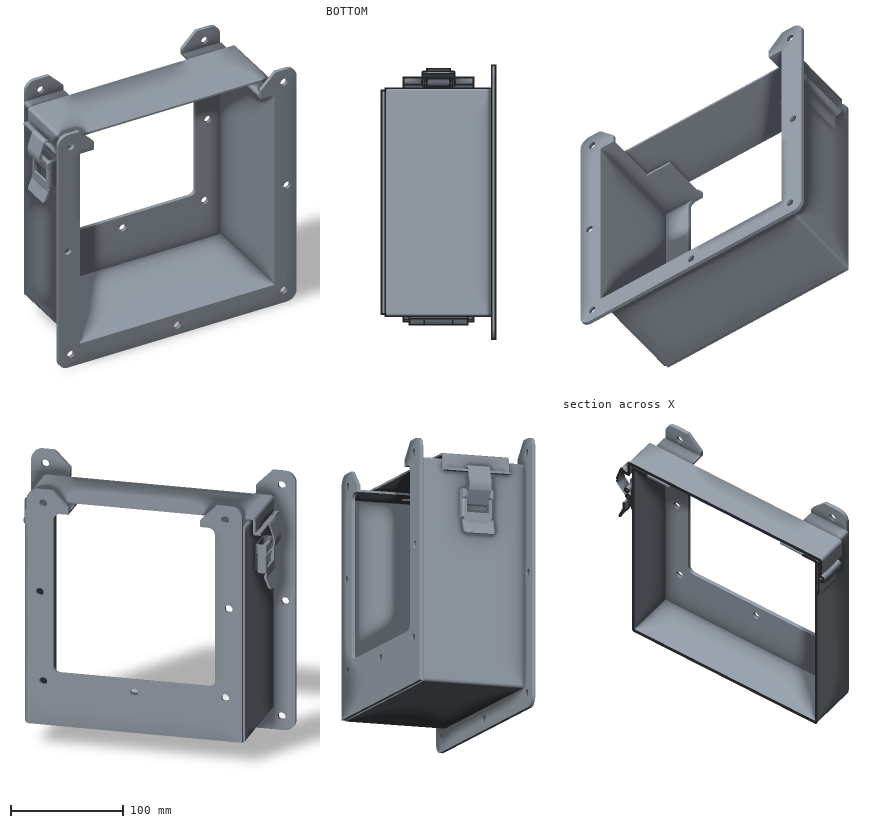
import cadquery as cq
import math

TOTAL_DEPTH = 101.7
MID_X = TOTAL_DEPTH / 2
PLATE_THICKNESS = 3.5
SHEET = 2.0
HOLE_DIAMETER = 7.0
EAR_CHAMFER = 14.7

REAR_SIZE = 244.5
REAR_HALF_WIDTH = REAR_SIZE / 2
REAR_CORNER_RADIUS = 10.0
REAR_EAR_TIP_Y = 85.8
REAR_CORNER_HOLE_INSET = 13.0
REAR_EDGE_HOLE_INSET = 9.8

CHANNEL_HALF_WIDTH = 101.7
CHANNEL_BOTTOM = 19.5
CHANNEL_TOP = 223.0
CHANNEL_BEND_RADIUS = 2.7
CHANNEL_START_X = PLATE_THICKNESS
CHANNEL_END_X = TOTAL_DEPTH - PLATE_THICKNESS
INNER_HALF_WIDTH = CHANNEL_HALF_WIDTH - SHEET
INNER_BOTTOM = CHANNEL_BOTTOM + SHEET
INNER_TOP = CHANNEL_TOP - SHEET

FRONT_HALF_WIDTH = INNER_HALF_WIDTH
FRONT_BOTTOM = 20.5
FRONT_TOP = 242.0
FRONT_CORNER_RADIUS = 10.0
FRONT_OPENING_HALF_WIDTH = 74.5
FRONT_OPENING_BOTTOM = 70.5
FRONT_OPENING_RADIUS = 6.0
FRONT_EAR_TIP_Y = 60.9
FRONT_CORNER_HOLE_Y = 84.0
FRONT_MID_HOLE_Y = 87.3
FRONT_TOP_HOLE_Z = 229.8
FRONT_MID_HOLE_Z = 145.7
FRONT_LOW_HOLE_Z = 61.5
FRONT_BOTTOM_HOLE_Z = 58.7

LID_WIDTH = 62.8
LID_TOP = 227.0
LID_HALF_LENGTH = 106.5
LID_BEND_RADIUS = 3.0
LID_LIP_BOTTOM = 210.7
LID_LIP_REACH = 111.2
LID_LIP_RADIUS = 1.7
LID_PLAIN_BOTTOM = 208.3

STRAP_WIDTH = 51.8
STRAP_BOTTOM = 183.0
STRAP_TOP = 222.5
BUMP_BOTTOM = 199.5
BUMP_TOP = 206.8
BUMP_REACH = 109.3
BUMP_MIDDLE_WIDTH = 25.5
BUMP_END_RADIUS = 3.0
BUMP_MIDDLE_RADIUS = 3.5

LATCH_WIDTH = 29.0
LATCH_TOP = 195.0
LATCH_FRONT_Y = -112.2
LEVER_BACK_Y = -104.0
LEVER_PLATE_TOP = 185.8
LEVER_FLANGE_BOTTOM = 169.2
LEVER_RELIEF_BOTTOM = 167.2
LEVER_BEND_Z = 164.8
LEVER_TIP_Y = -116.5
LEVER_TIP_Z = 154.0
LEVER_TIP_RADIUS = 2.5
LEVER_EDGE_RADIUS = 1.7
WINDOW_WIDTH = 21.5
WINDOW_BOTTOM = 173.5
BASE_PLATE_BOTTOM = 171.1
BASE_PLATE_THICKNESS = 1.0
BASE_EAR_BOTTOM = 186.5
EAR_CORNER_RADIUS = 2.0

LEVER_PIN_Y = -108.0
LEVER_PIN_Z = 191.0
LEVER_PIN_DIAMETER = 4.6
CLAW_PIN_Y = -106.0
CLAW_PIN_Z = 183.8
CLAW_PIN_DIAMETER = 3.2
CLAW_PIN_HEAD_DIAMETER = 4.6
CLAW_PIN_STUB = 0.2

CLAW_WIDTH = 20.8
CLAW_THICKNESS = 1.2
CLAW_BOW_START = (-117.3, 193.1)
CLAW_BOW_MIDDLE = (-118.3, 196.8)
CLAW_BOW_END = (-118.0, 201.5)
CLAW_HOOK_START = (-114.2, 213.5)
CLAW_HOOK_MIDDLE = (-112.5, 215.5)
CLAW_HOOK_END = (-110.0, 215.1)
CLAW_TIP = (-108.0, 213.7)


def block(x0, x1, y0, y1, z0, z1):
    """Box between opposite corners."""
    return cq.Workplane("XY").box(x1 - x0, y1 - y0, z1 - z0, centered=False).translate((x0, y0, z0))


def prism(points, x0, x1):
    """Closed YZ polygon extruded from x0 to x1."""
    return cq.Workplane("YZ", origin=(x0, 0, 0)).polyline(points).close().extrude(x1 - x0)


def rod(y, z, diameter, x0, x1):
    """Cylinder parallel to X."""
    return cq.Workplane("YZ", origin=(x0, 0, 0)).center(y, z).circle(diameter / 2).extrude(x1 - x0)


def across(width):
    """Start and end X of a width centred on the duct."""
    return MID_X - width / 2, MID_X + width / 2


def drill(plate, centres, x0):
    """Cut mounting holes through a flange plate that starts at x0."""
    for y, z in centres:
        plate = plate.cut(rod(y, z, HOLE_DIAMETER, x0, x0 + PLATE_THICKNESS))
    return plate


def u_plate(x0, half_width, bottom, top, opening_half_width, opening_bottom, ear_tip_y):
    """Flange plate open at the top, with an ear that points inward on each side."""
    ear_start_y = ear_tip_y + EAR_CHAMFER
    ear_tip_z = top - EAR_CHAMFER
    right_half = [
        (half_width, bottom),
        (half_width, top),
        (ear_start_y, top),
        (ear_tip_y, ear_tip_z),
        (ear_tip_y, INNER_TOP),
        (opening_half_width, INNER_TOP),
        (opening_half_width, opening_bottom),
    ]
    left_half = [(-y, z) for y, z in reversed(right_half)]
    return prism(right_half + left_half, x0, x0 + PLATE_THICKNESS)


def round_corners(plate, x0, corners, radius):
    """Fillet the X edges of a plate at the given (Y, Z) corners."""
    for y, z in corners:
        edge = cq.selectors.NearestToPointSelector((x0 + PLATE_THICKNESS / 2, y, z))
        plate = plate.edges("|X").edges(edge).fillet(radius)
    return plate


def make_front_plate():
    plate = u_plate(
        0, FRONT_HALF_WIDTH, FRONT_BOTTOM, FRONT_TOP,
        FRONT_OPENING_HALF_WIDTH, FRONT_OPENING_BOTTOM, FRONT_EAR_TIP_Y,
    )
    sides = (-1, 1)
    outer = [(s * FRONT_HALF_WIDTH, FRONT_TOP) for s in sides]
    heights = (FRONT_OPENING_BOTTOM, INNER_TOP)
    inner = [(s * FRONT_OPENING_HALF_WIDTH, z) for s in sides for z in heights]
    plate = round_corners(plate, 0, outer, FRONT_CORNER_RADIUS)
    plate = round_corners(plate, 0, inner, FRONT_OPENING_RADIUS)
    centres = [(0, FRONT_BOTTOM_HOLE_Z)]
    for s in sides:
        centres.append((s * FRONT_CORNER_HOLE_Y, FRONT_TOP_HOLE_Z))
        centres.append((s * FRONT_MID_HOLE_Y, FRONT_MID_HOLE_Z))
        centres.append((s * FRONT_CORNER_HOLE_Y, FRONT_LOW_HOLE_Z))
    return drill(plate, centres, 0)


def make_rear_plate():
    x0 = CHANNEL_END_X
    plate = u_plate(
        x0, REAR_HALF_WIDTH, 0, REAR_SIZE,
        INNER_HALF_WIDTH, INNER_BOTTOM, REAR_EAR_TIP_Y,
    )
    sides = (-1, 1)
    outer = [(s * REAR_HALF_WIDTH, z) for s in sides for z in (0, REAR_SIZE)]
    plate = round_corners(plate, x0, outer, REAR_CORNER_RADIUS)
    centres = [(0, REAR_EDGE_HOLE_INSET)]
    for s in sides:
        corner_y = s * (REAR_HALF_WIDTH - REAR_CORNER_HOLE_INSET)
        centres.append((corner_y, REAR_CORNER_HOLE_INSET))
        centres.append((corner_y, REAR_SIZE - REAR_CORNER_HOLE_INSET))
        centres.append((s * (REAR_HALF_WIDTH - REAR_EDGE_HOLE_INSET), REAR_SIZE / 2))
    return drill(plate, centres, x0)


def make_channel():
    x0, x1 = CHANNEL_START_X, CHANNEL_END_X
    half, inner = CHANNEL_HALF_WIDTH, INNER_HALF_WIDTH
    shell = block(x0, x1, -half, half, CHANNEL_BOTTOM, CHANNEL_TOP).edges("|X").fillet(CHANNEL_BEND_RADIUS)
    bore = block(x0, x1, -inner, inner, INNER_BOTTOM, INNER_TOP)
    bore = bore.edges("|X").fillet(CHANNEL_BEND_RADIUS - SHEET)
    front_gap = block(x0, MID_X, -FRONT_EAR_TIP_Y, FRONT_EAR_TIP_Y, INNER_TOP, CHANNEL_TOP)
    rear_gap = block(MID_X, x1, -REAR_EAR_TIP_Y, REAR_EAR_TIP_Y, INNER_TOP, CHANNEL_TOP)
    return shell.cut(bore).cut(front_gap).cut(rear_gap)


def make_lid():
    """Cap with a plain +Y flange and a -Y flange that ends in an outward lip."""
    x0, x1 = across(LID_WIDTH)
    outer = LID_HALF_LENGTH
    inner = outer - SHEET
    lip_top = LID_LIP_BOTTOM + SHEET
    cap = block(x0, x1, -outer, outer, lip_top, LID_TOP).edges("|X and >Z").fillet(LID_BEND_RADIUS)
    cavity = block(x0, x1, -inner, inner, lip_top, LID_TOP - SHEET)
    cavity = cavity.edges("|X and >Z").fillet(LID_BEND_RADIUS - SHEET)
    plain_end = block(x0, x1, inner, outer, LID_PLAIN_BOTTOM, lip_top)
    lip = block(x0, x1, -LID_LIP_REACH, -inner, LID_LIP_BOTTOM, lip_top)
    lip = lip.edges("|X and >Y and <Z").fillet(LID_LIP_RADIUS)
    return cap.cut(cavity).union(plain_end).union(lip)


def make_catch_strap():
    x0, x1 = across(STRAP_WIDTH)
    wall = CHANNEL_HALF_WIDTH
    strap = block(x0, x1, wall, wall + SHEET, STRAP_BOTTOM, STRAP_TOP)
    bump = block(x0, x1, wall, BUMP_REACH, BUMP_BOTTOM, BUMP_TOP)
    bump = bump.edges("|X and >Y").fillet(BUMP_END_RADIUS)
    mid_x0, mid_x1 = across(BUMP_MIDDLE_WIDTH)
    middle_slot = block(mid_x0, mid_x1, wall, BUMP_REACH, BUMP_BOTTOM, BUMP_TOP)
    middle = middle_slot.edges("|X and >Y").fillet(BUMP_MIDDLE_RADIUS)
    bump = bump.cut(middle_slot).union(middle)
    hollow = block(
        x0, x1, wall + SHEET, BUMP_REACH - SHEET, BUMP_BOTTOM + SHEET, BUMP_TOP - SHEET
    )
    return strap.union(bump).cut(hollow)


def make_latch_base():
    """Plate on the channel wall with two ears that hold the lever pin."""
    outer_x0, outer_x1 = across(LATCH_WIDTH - 2 * SHEET)
    wall = -CHANNEL_HALF_WIDTH
    base = block(outer_x0, outer_x1, wall - BASE_PLATE_THICKNESS, wall, BASE_PLATE_BOTTOM, LATCH_TOP)
    inner_x0, inner_x1 = across(WINDOW_WIDTH)
    for x0, x1 in ((outer_x0, inner_x0), (inner_x1, outer_x1)):
        ear = block(x0, x1, LATCH_FRONT_Y, wall, BASE_EAR_BOTTOM, LATCH_TOP)
        base = base.union(ear.edges("|X and <Y").fillet(EAR_CORNER_RADIUS))
    return base.cut(rod(LEVER_PIN_Y, LEVER_PIN_Z, LEVER_PIN_DIAMETER, outer_x0, outer_x1))


def make_lever():
    """Handle with two side flanges and a bent tongue."""
    x0, x1 = across(LATCH_WIDTH)
    back = LATCH_FRONT_Y + SHEET
    body = block(x0, x1, LATCH_FRONT_Y, LEVER_BACK_Y, LEVER_FLANGE_BOTTOM, LATCH_TOP)
    body = body.edges("|Z and <Y").fillet(LEVER_EDGE_RADIUS)
    body = body.edges("|X and >Y and <Z").fillet(EAR_CORNER_RADIUS)
    inner_x0, inner_x1 = across(LATCH_WIDTH - 2 * SHEET)
    body = body.cut(block(inner_x0, inner_x1, back, LEVER_BACK_Y, LEVER_FLANGE_BOTTOM, LATCH_TOP))
    body = body.cut(block(x0, x1, LATCH_FRONT_Y, LEVER_BACK_Y, LEVER_PLATE_TOP, LATCH_TOP))
    for ear_x0, ear_x1 in ((x0, inner_x0), (inner_x1, x1)):
        ear = block(ear_x0, ear_x1, LATCH_FRONT_Y, LEVER_BACK_Y, LEVER_PLATE_TOP, LATCH_TOP)
        body = body.union(ear.edges("|X and <Y").fillet(EAR_CORNER_RADIUS))
    window_x0, window_x1 = across(WINDOW_WIDTH)
    body = body.cut(block(window_x0, window_x1, LATCH_FRONT_Y, back, WINDOW_BOTTOM, LATCH_TOP))

    neck = block(inner_x0, inner_x1, LATCH_FRONT_Y, back, LEVER_RELIEF_BOTTOM, LEVER_FLANGE_BOTTOM)
    tongue_outline = [
        (LATCH_FRONT_Y, LEVER_RELIEF_BOTTOM),
        (LATCH_FRONT_Y, LEVER_BEND_Z),
        (LEVER_TIP_Y, LEVER_TIP_Z),
        (LEVER_TIP_Y + SHEET, LEVER_TIP_Z),
        (back, LEVER_BEND_Z),
        (back, LEVER_RELIEF_BOTTOM),
    ]
    tongue = prism(tongue_outline, x0, x1)
    rounding = block(x0, x1, LEVER_TIP_Y, back, LEVER_TIP_Z, LEVER_RELIEF_BOTTOM)
    tongue = tongue.intersect(rounding.edges("|Y and <Z").fillet(LEVER_TIP_RADIUS))
    lever = body.union(neck).union(tongue)
    for y, z, diameter in (
        (LEVER_PIN_Y, LEVER_PIN_Z, LEVER_PIN_DIAMETER),
        (CLAW_PIN_Y, CLAW_PIN_Z, CLAW_PIN_HEAD_DIAMETER),
    ):
        lever = lever.cut(rod(y, z, diameter, x0, x1))
    return lever


def make_lever_pin():
    return rod(LEVER_PIN_Y, LEVER_PIN_Z, LEVER_PIN_DIAMETER, *across(LATCH_WIDTH))


def make_claw_pin():
    """Rivet with a wider head sunk in each lever flange and a short stub beyond it."""
    x0, x1 = across(LATCH_WIDTH)
    stub = CLAW_PIN_STUB
    pin = rod(CLAW_PIN_Y, CLAW_PIN_Z, CLAW_PIN_DIAMETER, x0 - stub, x1 + stub)
    for head_x in (x0, x1 - SHEET):
        pin = pin.union(rod(CLAW_PIN_Y, CLAW_PIN_Z, CLAW_PIN_HEAD_DIAMETER, head_x, head_x + SHEET))
    return pin


def make_claw():
    """Bowed strip from the claw pin out through the lever window and over the lid lip."""
    x0, x1 = across(CLAW_WIDTH)
    curl_diameter = CLAW_PIN_DIAMETER + 2 * CLAW_THICKNESS
    path_radius = (CLAW_PIN_DIAMETER + CLAW_THICKNESS) / 2
    diagonal = path_radius * math.sqrt(0.5)
    path = (
        cq.Workplane("YZ", origin=(x0, 0, 0))
        .moveTo(CLAW_PIN_Y - diagonal, CLAW_PIN_Z - diagonal)
        .lineTo(*CLAW_BOW_START)
        .threePointArc(CLAW_BOW_MIDDLE, CLAW_BOW_END)
        .lineTo(*CLAW_HOOK_START)
        .threePointArc(CLAW_HOOK_MIDDLE, CLAW_HOOK_END)
        .lineTo(*CLAW_TIP)
    )
    strip = path.offset2D(CLAW_THICKNESS / 2).extrude(x1 - x0)
    claw = strip.union(rod(CLAW_PIN_Y, CLAW_PIN_Z, curl_diameter, x0, x1))
    return claw.cut(rod(CLAW_PIN_Y, CLAW_PIN_Z, CLAW_PIN_DIAMETER, x0, x1))


front_plate = make_front_plate()
rear_plate = make_rear_plate()
channel = make_channel()
lid = make_lid()
catch_strap = make_catch_strap()
latch_base = make_latch_base()
lever = make_lever()
lever_pin = make_lever_pin()
claw = make_claw()
claw_pin = make_claw_pin()

result = cq.Compound.makeCompound([
    front_plate.val(),
    rear_plate.val(),
    channel.val(),
    lid.val(),
    catch_strap.val(),
    latch_base.val(),
    lever.val(),
    lever_pin.val(),
    claw.val(),
    claw_pin.val(),
])